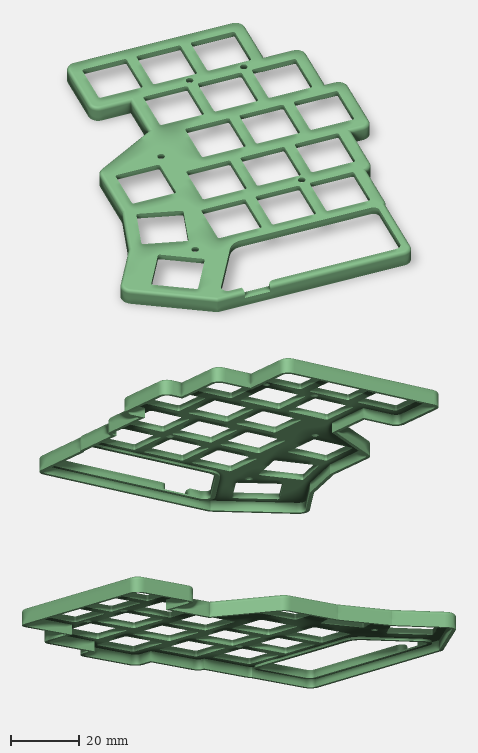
import cadquery as cq
import math

length = 116.5
height = 4.8
plate_thickness = 1.7
wall_thickness = 1.2
top_edge_radius = 1.0
corner_radius = 3.0
thumb_corner_radius = 3.5

pinky, ring, middle, index, inner = range(5)
column_pitch = 18.0
row_pitch = 17.0
row_count = 3
window_size = 13.9
window_corner_radius = 0.6
rim = 2.3
top_row_y = 84.3
column_drops = [18.2, 6.0, 0.0, 6.8, 9.1]

thumb_keys = [(59.7, 23.6, 0), (79.9, 21.0, -15), (100.4, 17.8, -30)]
outer_thumb_reach = 15.8
diagonal_start_x = 37.0
diagonal_angle = -60

opening_left = 93.7
opening_right = 113.9
opening_top = 82.9
opening_slope_point = (103.6, 31.4)
opening_slope_angle = -30
opening_corner_radius = 1.9
opening_obtuse_radius = 5.0
opening_lip_thickness = 2.5
opening_lip_width = length - wall_thickness - opening_right
controller_edge_y = 85.6
notch_bottom = 32.6
notch_top = 40.5
notch_depth = 2.0
notch_round = 2.0

screw_diameter = 2.2
thumb_screws = [(49.6, 32.4), (92.7, 26.2)]

half_row = row_pitch / 2
edge_reach = half_row + rim
column_x = [rim + column_pitch * (i + 0.5) for i in range(len(column_drops))]
column_top_key_y = [top_row_y - drop for drop in column_drops]
column_top_edge = [y + edge_reach for y in column_top_key_y]


def column_bottom_edge(column):
    return column_top_key_y[column] - (row_count - 1) * row_pitch - edge_reach


def column_left_edge(column):
    return column_pitch * column


def column_right_edge(column):
    return column_pitch * (column + 1) + 2 * rim


def crossing(point_a, angle_a, point_b, angle_b):
    """Point where two lines, each given by a point and an angle in degrees, meet."""
    ax, ay = math.cos(math.radians(angle_a)), math.sin(math.radians(angle_a))
    bx, by = math.cos(math.radians(angle_b)), math.sin(math.radians(angle_b))
    dx, dy = point_b[0] - point_a[0], point_b[1] - point_a[1]
    along_a = (dx * by - dy * bx) / (ax * by - ay * bx)
    return (point_a[0] + along_a * ax, point_a[1] + along_a * ay)


def key_edge_point(key, reach, direction):
    """Point at a distance from a key centre, in a direction turned with the key."""
    x, y, turn = key
    angle = math.radians(turn + direction)
    return (x + reach * math.cos(angle), y + reach * math.sin(angle))


def rounded_profile(corners):
    """Closed profile through (point, radius) corners; a zero radius stays sharp."""
    path = None
    for i, (corner, radius) in enumerate(corners):
        stops = [corner]
        if radius > 0:
            before = corners[i - 1][0]
            after = corners[(i + 1) % len(corners)][0]
            stops = corner_arc(before, corner, after, radius)
        if path is None:
            path = cq.Workplane("XY").moveTo(*stops[0])
        else:
            path = path.lineTo(*stops[0])
        if radius > 0:
            path = path.threePointArc(stops[1], stops[2])
    return path.close()


def corner_arc(before, corner, after, radius):
    """Start, middle and end of the arc that rounds one corner."""
    to_before = (cq.Vector(*before) - cq.Vector(*corner)).normalized()
    to_after = (cq.Vector(*after) - cq.Vector(*corner)).normalized()
    half_angle = to_before.getAngle(to_after) / 2
    setback = radius / math.tan(half_angle)
    halfway_distance = radius / math.sin(half_angle) - radius
    vertex = cq.Vector(*corner)
    start = vertex + to_before * setback
    halfway = vertex + (to_before + to_after).normalized() * halfway_distance
    end = vertex + to_after * setback
    return [(p.x, p.y) for p in (start, halfway, end)]


def main_corners():
    """Outline corners with their radii, clockwise from the lower left."""
    first_thumb, second_thumb, last_thumb = thumb_keys
    first_edge = key_edge_point(first_thumb, edge_reach, -90)
    second_edge = key_edge_point(second_thumb, edge_reach, -90)
    last_edge = key_edge_point(last_thumb, outer_thumb_reach, -90)
    right_edge = key_edge_point(last_thumb, edge_reach, 0)
    first_turn, second_turn, last_turn = [key[2] for key in thumb_keys]
    last_side = last_turn + 90
    diagonal_start = (diagonal_start_x, column_bottom_edge(ring))
    corners = [((0, column_bottom_edge(pinky)), corner_radius)]
    for column in (pinky, ring, middle):
        corners.append(((column_left_edge(column), column_top_edge[column]), corner_radius))
        if column != middle:
            corners.append(((column_left_edge(column + 1), column_top_edge[column]), 0))
    corners += [
        ((column_right_edge(middle), column_top_edge[middle]), corner_radius),
        ((column_right_edge(middle), controller_edge_y), 0),
        ((length, controller_edge_y), corner_radius),
        (crossing((length, 0), 90, right_edge, last_side), 0),
        (crossing(right_edge, last_side, last_edge, last_turn), thumb_corner_radius),
        (crossing(last_edge, last_turn, second_edge, second_turn), 0),
        (crossing(second_edge, second_turn, first_edge, first_turn), 0),
        (crossing(first_edge, first_turn, diagonal_start, diagonal_angle), corner_radius),
        (diagonal_start, 0),
        ((column_right_edge(pinky), column_bottom_edge(ring)), 0),
        ((column_right_edge(pinky), column_bottom_edge(pinky)), corner_radius),
    ]
    return corners


def raised_column(column, inset, depth):
    """Rounded block of a column whose top stands above the controller edge."""
    left = column_left_edge(column - 1) + inset
    right = column_right_edge(column) - inset
    top = column_top_edge[column] - inset
    bottom = top - 2 * row_pitch
    block = cq.Workplane("XY").box(right - left, top - bottom, depth, centered=False)
    block = block.edges("|Z").fillet(corner_radius - inset)
    return block.translate((left, bottom, 0))


def outline_body(inset, depth):
    """Solid of the whole outline, drawn in by an inset."""
    profile = rounded_profile(main_corners())
    if inset > 0:
        profile = profile.offset2D(-inset, "intersection")
    body = profile.extrude(depth)
    for column in (index, inner):
        body = body.union(raised_column(column, inset, depth))
    return body


def key_window(x, y, turn):
    """Cutter for one switch window."""
    window = cq.Workplane("XY").rect(window_size, window_size).extrude(height)
    window = window.edges("|Z").fillet(window_corner_radius)
    return window.rotate((0, 0, 0), (0, 0, 1), turn).translate((x, y, 0))


def cut_key_windows(body):
    for x, top_y in zip(column_x, column_top_key_y):
        for row in range(row_count):
            body = body.cut(key_window(x, top_y - row * row_pitch, 0))
    for x, y, turn in thumb_keys:
        body = body.cut(key_window(x, y, turn))
    return body


def cut_screw_holes(body):
    """Drill between the rows of the ring and inner columns, on their left cell edges."""
    ring_left = column_right_edge(pinky) - rim
    inner_left = column_right_edge(index) - rim
    upper_ring_gap = column_top_key_y[ring] - half_row
    upper_inner_gap = column_top_key_y[inner] - half_row
    column_screws = [
        (ring_left, upper_ring_gap),
        (ring_left, upper_ring_gap - row_pitch),
        (inner_left, upper_inner_gap),
    ]
    screws = column_screws + thumb_screws
    holes = cq.Workplane("XY").pushPoints(screws).circle(screw_diameter / 2).extrude(height)
    return body.cut(holes)


def opening_profile():
    slope = (opening_slope_point, opening_slope_angle)
    return rounded_profile([
        ((opening_left, opening_top), opening_corner_radius),
        ((opening_right, opening_top), opening_corner_radius),
        (crossing((opening_right, 0), 90, *slope), opening_corner_radius),
        (crossing((opening_left, 0), 90, *slope), opening_obtuse_radius),
    ])


def add_opening_lip(body):
    """Thicken the plate around the controller opening, inside the cavity."""
    lip_depth = opening_lip_thickness - top_edge_radius
    lip = opening_profile().offset2D(opening_lip_width).extrude(lip_depth)
    return body.union(lip.translate((0, 0, height - opening_lip_thickness)))


def cut_controller_opening(body):
    return body.cut(opening_profile().extrude(height))


def cut_connector_notch(body):
    """Open the right wall from above; the wall end at the top of the notch is rounded."""
    arc_middle = notch_round * math.cos(math.radians(45))
    round_x = opening_right + notch_round
    round_y = notch_top + notch_round
    notch = (
        cq.Workplane("XY", origin=(0, 0, height - notch_depth))
        .moveTo(opening_right, notch_bottom)
        .lineTo(length, notch_bottom)
        .lineTo(length, notch_top)
        .lineTo(round_x, notch_top)
        .threePointArc((round_x - arc_middle, round_y - arc_middle), (opening_right, round_y))
        .close()
        .extrude(notch_depth)
    )
    return body.cut(notch)


shell = outline_body(0, height).faces(">Z").edges().fillet(top_edge_radius)
shell = shell.cut(outline_body(wall_thickness, height - plate_thickness))
shell = cut_key_windows(shell)
shell = cut_screw_holes(shell)
shell = add_opening_lip(shell)
shell = cut_controller_opening(shell)
result = cut_connector_notch(shell)